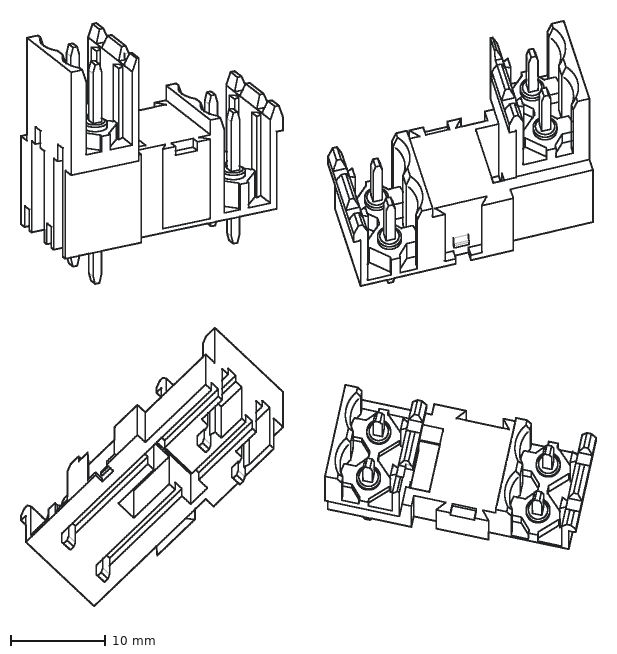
import cadquery as cq


pitch = 5.09
pins_per_row = 2
row_width = pins_per_row * pitch
row_shift_x = pitch / 2
row_step_y = 17.82
body_height = 10.23

pin_y = 4.18
front_wall_inner = 1.8
front_wall_top_inner = 1.33
rear_wall_inner = 7.3
rear_wall_outer = 8.07
barb_tip = 8.81
barb_underside = 8.95
barb_ridge_front = 7.83
barb_ridge_rear = 8.3
shoulder_height = 10.5
wall_height = 11.93
platform_height = 3.75
lower_floor = 0.83
upper_floor = 2.0
lower_wall_front = 0.13
notch_bottom_width = 1.17
notch_top_width = 1.86
scoop_radius = 3.2
scoop_bottom_y = 1.17
scoop_lean = 0.53

band_half = 0.5
diamond_half_width = 2.18
rear_neck_half_width = 0.43
rear_neck_y = 6.5
front_neck_half_width = 1.0
front_neck_y = 2.58
rib_front_y = 6.68
rib_front_half_width = 0.6
rib_rear_half_width = 0.32

pin_size = 1.0
pin_tip = 0.5
pin_taper = 0.95
pin_top = 11.18
pin_bottom = -4.0
collar_diameter = 2.53
collar_height = 0.67
collar_bevel_height = 0.15
collar_bevel_width = 0.25

front_block_left = 1.17
front_block_right = 11.35
front_block_rear = 9.08
window_left = 2.45
window_right = 9.43
window_rear = 10.6

dovetail_depth = 1.0
dovetail_y = 14.57
dovetail_neck_half = 2.0
dovetail_wide_half = 2.85
ledge_height = 1.0
ledge_notch_half = 0.83
recess_half = 1.3
recess_depth = 1.0
latch_reach = 0.27
latch_edge_setback = 0.05
latch_bottom = 2.0
latch_edge_bottom = 2.5
latch_edge_top = 2.77
latch_top = 3.6

pocket_height = 10.6
pocket_half_width = 1.46
pocket_depth = 3.05
slot_height = 12.6
slot_mouth_width = 1.12
slot_back_width = 0.7
tail_slot_height = 2.45
core_left = 3.95
core_height = 9.27
core_depth = 5.33


def box(x0, x1, y0, y1, z0, z1):
    return cq.Workplane("XY").box(x1 - x0, y1 - y0, z1 - z0, centered=False).translate((x0, y0, z0))


def plate_along_x(profile, x0, x1):
    """Extrude a (y, z) profile from x0 to x1."""
    return cq.Workplane("YZ", origin=(x0, 0, 0)).polyline(profile).close().extrude(x1 - x0)


def prism_up(outline, z0, z1):
    """Extrude an (x, y) outline from z0 to z1."""
    return cq.Workplane("XY", origin=(0, 0, z0)).polyline(outline).close().extrude(z1 - z0)


def pin_positions():
    return [pitch * (i + 0.5) for i in range(pins_per_row)]


def front_wall(wall_front, floor):
    wall = plate_along_x(
        [
            (wall_front, 0),
            (front_wall_inner, 0),
            (front_wall_inner, shoulder_height),
            (front_wall_top_inner, wall_height),
            (wall_front, wall_height),
        ],
        0,
        row_width,
    )
    center_y = scoop_bottom_y + scoop_radius
    for x in pin_positions():
        shaft = (
            cq.Workplane("XY", origin=(x, center_y, floor))
            .circle(scoop_radius)
            .extrude(shoulder_height - floor)
        )
        flare = (
            cq.Workplane("XY", origin=(x, center_y, shoulder_height))
            .circle(scoop_radius)
            .workplane(offset=wall_height - shoulder_height)
            .center(0, -scoop_lean)
            .circle(scoop_radius)
            .loft(ruled=True)
        )
        wall = wall.cut(shaft).cut(flare)
    return wall


def rear_wall():
    wall = plate_along_x(
        [
            (rear_wall_inner, 0),
            (rear_wall_outer, 0),
            (rear_wall_outer, barb_underside),
            (barb_tip, barb_underside),
            (barb_tip, shoulder_height),
            (barb_ridge_rear, wall_height),
            (barb_ridge_front, wall_height),
            (rear_wall_inner, shoulder_height),
        ],
        0,
        row_width,
    )
    for x in pin_positions():
        notch = (
            cq.Workplane("XZ", origin=(x, rear_wall_inner, 0))
            .polyline(
                [
                    (-notch_bottom_width / 2, shoulder_height),
                    (notch_bottom_width / 2, shoulder_height),
                    (notch_top_width / 2, wall_height),
                    (-notch_top_width / 2, wall_height),
                ]
            )
            .close()
            .extrude(rear_wall_inner - barb_tip)
        )
        wall = wall.cut(notch)
        rib = prism_up(
            [
                (x - rib_front_half_width, rib_front_y),
                (x + rib_front_half_width, rib_front_y),
                (x + rib_rear_half_width, rear_wall_inner),
                (x - rib_rear_half_width, rear_wall_inner),
            ],
            0,
            body_height,
        )
        wall = wall.union(rib)
    return wall


def platform():
    """Band through all pins with a diamond and two necks at each pin."""
    band_front = pin_y - band_half
    band_rear = pin_y + band_half
    shape = box(0, row_width, band_front, band_rear, 0, platform_height)
    half_outline = [
        (front_neck_half_width, scoop_bottom_y),
        (front_neck_half_width, front_neck_y),
        (diamond_half_width, band_front),
        (diamond_half_width, band_rear),
        (rear_neck_half_width, rear_neck_y),
        (rear_neck_half_width, rib_front_y),
    ]
    for x in pin_positions():
        right = [(x + u, y) for u, y in half_outline]
        left = [(x - u, y) for u, y in reversed(half_outline)]
        shape = shape.union(prism_up(right + left, 0, platform_height))
    return shape


def pin_row(wall_front, floor):
    row = box(0, row_width, wall_front, rear_wall_outer, 0, floor)
    row = row.union(front_wall(wall_front, floor)).union(rear_wall()).union(platform())
    for x in pin_positions():
        collar = (
            cq.Workplane("XY", origin=(x, pin_y, platform_height))
            .circle(collar_diameter / 2)
            .extrude(collar_height)
            .faces(">Z")
            .chamfer(collar_bevel_height, collar_bevel_width)
        )
        row = row.union(collar)
    return row


def pins(x_shift, y_shift, base):
    """Square pins tapered toward both ends in the Y direction."""
    y = y_shift + pin_y
    top = base + pin_top
    half = pin_size / 2
    tip = pin_tip / 2
    profile = [
        (y - tip, pin_bottom),
        (y + tip, pin_bottom),
        (y + half, pin_bottom + pin_taper),
        (y + half, top - pin_taper),
        (y + tip, top),
        (y - tip, top),
        (y - half, top - pin_taper),
        (y - half, pin_bottom + pin_taper),
    ]
    group = cq.Workplane("XY")
    for x in pin_positions():
        group = group.union(plate_along_x(profile, x_shift + x - half, x_shift + x + half))
    return group


def housing_body():
    body = box(front_block_left, front_block_right, 0, front_block_rear, 0, body_height)
    body = body.union(box(0, row_width, front_block_rear, row_step_y + lower_wall_front, 0, body_height))
    window = box(window_left, window_right, rear_wall_outer, window_rear, 0, body_height)
    core = box(core_left, row_width - core_left, window_rear, window_rear + core_depth, 0, core_height)
    return body.cut(window).cut(core)


def dovetail(x_face, z0):
    """Dovetail prism that widens from x_face toward +X."""
    x_wide = x_face + dovetail_depth
    outline = [
        (x_face, dovetail_y - dovetail_neck_half),
        (x_wide, dovetail_y - dovetail_wide_half),
        (x_wide, dovetail_y + dovetail_wide_half),
        (x_face, dovetail_y + dovetail_neck_half),
    ]
    return prism_up(outline, z0, body_height)


def latch_nub():
    x_base = dovetail_depth
    x_edge = dovetail_depth - latch_reach
    profile = [
        (x_base, latch_bottom),
        (x_edge, latch_bottom),
        (x_edge, latch_edge_bottom),
        (x_edge + latch_edge_setback, latch_edge_top),
        (x_base, latch_top),
    ]
    return (
        cq.Workplane("XZ", origin=(0, dovetail_y + ledge_notch_half, 0))
        .polyline(profile)
        .close()
        .extrude(2 * ledge_notch_half)
    )


def add_side_joint(body):
    notch_front = dovetail_y - ledge_notch_half
    notch_rear = dovetail_y + ledge_notch_half
    ledge_notch = box(0, dovetail_depth, notch_front, notch_rear, 0, ledge_height)
    body = body.cut(dovetail(0, ledge_height)).cut(ledge_notch).union(latch_nub())
    recess = box(
        row_width,
        row_width + dovetail_depth,
        dovetail_y - recess_half,
        dovetail_y + recess_half,
        body_height - recess_depth,
        body_height,
    )
    return body.union(dovetail(row_width, ledge_height).cut(recess))


def cut_pin_slots(part):
    """Pockets and slots that run from the front face back to the pins, below the platform necks."""
    half = pin_size / 2
    pin_front = pin_y - half
    upper_pins = [row_shift_x + x for x in pin_positions()]
    for x in upper_pins:
        right_reach = half if x == upper_pins[-1] else pocket_half_width
        part = part.cut(box(x - pocket_half_width, x + right_reach, 0, pocket_depth, 0, pocket_height))
        slot = prism_up(
            [
                (x - slot_mouth_width / 2, 0),
                (x + slot_mouth_width / 2, 0),
                (x + slot_mouth_width / 2, pocket_depth),
                (x + slot_back_width / 2, pin_front),
                (x - slot_back_width / 2, pin_front),
                (x - slot_mouth_width / 2, pocket_depth),
            ],
            0,
            slot_height,
        )
        part = part.cut(slot)
    for x in pin_positions():
        part = part.cut(box(x - half, x + half, 0, row_step_y + pin_front, 0, tail_slot_height))
    return part


lower_row = pin_row(lower_wall_front, lower_floor).translate((0, row_step_y, 0))
upper_row = pin_row(0, upper_floor).translate((row_shift_x, 0, body_height))
barb_clearance = box(
    window_right,
    row_shift_x + row_width,
    rear_wall_outer,
    barb_tip,
    body_height,
    body_height + wall_height,
)
housing = add_side_joint(housing_body()).union(lower_row).union(upper_row.cut(barb_clearance))
housing = cut_pin_slots(housing)
result = housing.union(pins(0, row_step_y, 0)).union(pins(row_shift_x, 0, body_height))